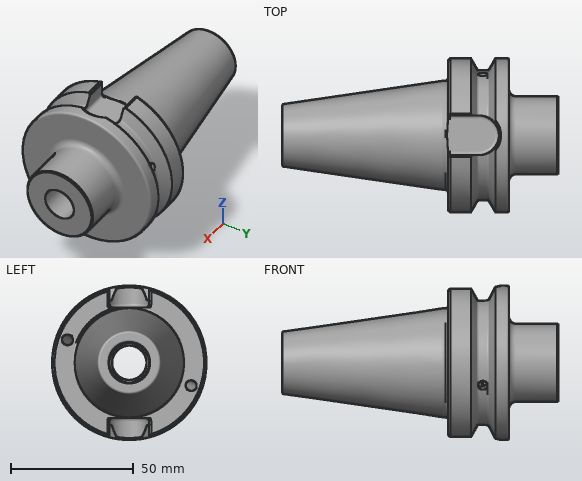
import cadquery as cq
import math

overall_length = 112.4

taper_slope = 7 / 48
taper_length = 65.4
taper_large_radius = 22.3
taper_small_radius = taper_large_radius - taper_length * taper_slope
taper_end_round = 0.9

flange_radius = 31.5
flange_front = 67.4
flange_back = 92.4
front_chamfer = 1.0
back_round = 1.0
neck_fillet = 0.9
groove_mouth_start = 76.8
groove_mouth_end = 86.9
groove_floor_radius = 26.5
groove_corner_fillet = 0.9
groove_wall_angle = 60.0

nose_radius = 16.0
nose_fillet = 2.7
nose_chamfer = 0.5

bore_radius = 7.0
pilot_radius = 8.4
pilot_depth = 7.1
pilot_mouth_round = 0.9
relief_radius = 8.1
relief_end = 8.4
bore_start = 9.4

slot_half_width = 8.1
slot_center = 80.1
slot_floor_height = 22.5
slot_floor_fillet = 1.5
slot_chamfer = 0.84

coolant_angle = 20.3
coolant_face_distance = 26.9
coolant_hole_radius = 2.1
coolant_tilt = 20.0
cross_hole_position = 81.7
cross_hole_radius = 1.9


def revolve_about_axis(profile):
    return profile.close().revolve(360, (0, 0, 0), (1, 0, 0))


def circles_at(solid, x, radius):
    """Circular edges of the given radius at the given X."""
    tolerance = 0.02
    box = cq.selectors.BoxSelector(
        (x - tolerance, -radius - 1.1, -radius - 1.1), (x + tolerance, radius + 1.1, radius + 1.1), boundingbox=True
    )
    edges = [edge for edge in solid.edges(box).vals() if abs(edge.radius() - radius) < tolerance]
    return solid.newObject(edges)


def make_body():
    groove_wall = (flange_radius - groove_floor_radius) / math.tan(math.radians(groove_wall_angle))
    floor_start = groove_mouth_start + groove_wall
    floor_end = groove_mouth_end - groove_wall
    body = revolve_about_axis(
        cq.Workplane("XY")
        .lineTo(0, taper_small_radius)
        .lineTo(taper_length, taper_large_radius)
        .lineTo(flange_front, taper_large_radius)
        .lineTo(flange_front, flange_radius)
        .lineTo(groove_mouth_start, flange_radius)
        .lineTo(floor_start, groove_floor_radius)
        .lineTo(floor_end, groove_floor_radius)
        .lineTo(groove_mouth_end, flange_radius)
        .lineTo(flange_back, flange_radius)
        .lineTo(flange_back, nose_radius)
        .lineTo(overall_length, nose_radius)
        .lineTo(overall_length, 0)
    )
    body = circles_at(body, 0, taper_small_radius).fillet(taper_end_round)
    body = circles_at(body, flange_front, taper_large_radius).fillet(neck_fillet)
    body = circles_at(body, flange_front, flange_radius).chamfer(front_chamfer)
    for floor_x in (floor_start, floor_end):
        body = circles_at(body, floor_x, groove_floor_radius).fillet(groove_corner_fillet)
    body = circles_at(body, flange_back, flange_radius).fillet(back_round)
    body = circles_at(body, flange_back, nose_radius).fillet(nose_fillet)
    return circles_at(body, overall_length, nose_radius).chamfer(nose_chamfer)


def make_bore():
    mouth_radius = pilot_radius + pilot_mouth_round
    return revolve_about_axis(
        cq.Workplane("XY")
        .lineTo(0, mouth_radius)
        .radiusArc((pilot_mouth_round, pilot_radius), -pilot_mouth_round)
        .lineTo(pilot_depth, pilot_radius)
        .lineTo(pilot_depth + pilot_radius - relief_radius, relief_radius)
        .lineTo(relief_end, relief_radius)
        .lineTo(bore_start, bore_radius)
        .lineTo(overall_length, bore_radius)
        .lineTo(overall_length, 0)
    )


def make_slot_cutter():
    straight = (
        cq.Workplane("XY", origin=(0, 0, slot_floor_height))
        .moveTo(taper_length, -slot_half_width)
        .lineTo(slot_center, -slot_half_width)
        .threePointArc((slot_center + slot_half_width, 0), (slot_center, slot_half_width))
        .lineTo(taper_length, slot_half_width)
        .close()
        .extrude(flange_radius)
    )
    return straight.faces("<Z").edges("not <X").fillet(slot_floor_fillet)


def make_slot_mouth_cutter():
    """45 degree flare of the slot walls at the flange face; it fades out at the slot floor."""
    flare = (
        cq.Workplane("YZ", origin=(flange_front + slot_chamfer, 0, slot_floor_height + flange_radius / 2))
        .sketch()
        .rect(2 * slot_half_width, flange_radius)
        .vertices()
        .fillet(slot_floor_fillet)
        .finalize()
        .extrude(-slot_chamfer, taper=-45)
    )
    above_floor = cq.Workplane("XY", origin=(flange_front, 0, slot_floor_height)).box(
        flange_radius, 2 * flange_radius, 2 * flange_radius, centered=(True, True, False)
    )
    return flare.intersect(above_floor)


def chamfer_slot_rims(solid):
    """Break the edges where the slots open through the outer cylinders of the flange."""
    margin = 0.1
    wall_foot = slot_floor_height + slot_floor_fillet
    rim_ranges = (
        (flange_front + front_chamfer, groove_mouth_start),
        (groove_mouth_end, slot_center + slot_half_width),
    )
    rims = []
    for side in (1, -1):
        for x_min, x_max in rim_ranges:
            box = cq.selectors.BoxSelector(
                (x_min - margin, -slot_half_width - margin, side * wall_foot),
                (x_max + margin, slot_half_width + margin, side * (flange_radius + margin)),
                boundingbox=True,
            )
            rims += solid.edges(box).vals()
    return solid.newObject(rims).chamfer(slot_chamfer)


def make_coolant_hole():
    """Tilted hole from the flange face that meets a radial hole drilled from the groove, at +Y."""
    tilt = math.radians(coolant_tilt)
    direction = cq.Vector(math.cos(tilt), -math.sin(tilt), 0)
    run = cross_hole_position - flange_front
    hole_length = run / math.cos(tilt)
    meeting_distance = coolant_face_distance - run * math.tan(tilt)
    lead = coolant_hole_radius
    entry = cq.Vector(flange_front, coolant_face_distance, 0) - direction * lead
    tilted = cq.Solid.makeCylinder(coolant_hole_radius, hole_length + lead, entry, direction)
    radial = cq.Solid.makeCylinder(
        cross_hole_radius,
        flange_radius - meeting_distance,
        cq.Vector(cross_hole_position, meeting_distance, 0),
        cq.Vector(0, 1, 0),
    )
    hole = cq.Workplane(tilted).union(cq.Workplane(radial))
    return hole.rotate((0, 0, 0), (1, 0, 0), coolant_angle)


def cut_pair(solid, cutter):
    """Cut with the tool and with its copy half a turn around the axis."""
    return solid.cut(cutter).cut(cutter.rotate((0, 0, 0), (1, 0, 0), 180))


result = make_body().cut(make_bore())
result = cut_pair(result, make_slot_cutter())
result = chamfer_slot_rims(result)
result = cut_pair(result, make_slot_mouth_cutter())
result = cut_pair(result, make_coolant_hole())